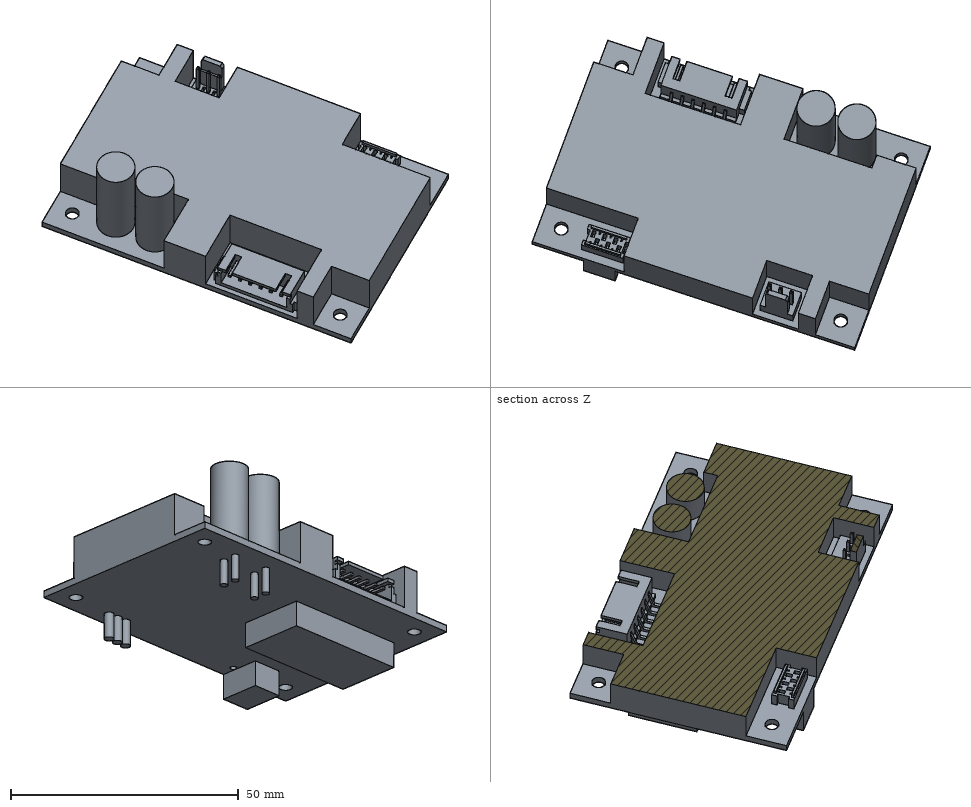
import cadquery as cq

BOARD_LENGTH = 75.0
BOARD_WIDTH = 50.0
BOARD_THICKNESS = 1.6
MOUNT_HOLE_DIAMETER = 3.0
MOUNT_HOLE_INSET = 5.0
RIGHT = BOARD_LENGTH / 2
LEFT = -RIGHT
BACK = BOARD_WIDTH / 2
FRONT = -BACK

COVER_HEIGHT = 10.0
CORNER_LENGTH = 9.15
CORNER_WIDTH = 9.35
CAPACITOR_NOTCH_RIGHT = -7.9
FRONT_NOTCH_WIDTH = 12.55
POWER_NOTCH_LEFT = 2.2
POWER_NOTCH_RIGHT = 24.4
FAN_NOTCH_LEFT = -24.4
FAN_NOTCH_RIGHT = -13.75
SIGNAL_NOTCH_LEFT = 16.15

UNDERSIDE_DEPTH = 6.0
LARGE_BLOCK_X = (3.0, 33.2)
LARGE_BLOCK_Y = (-12.9, 2.9)
SMALL_BLOCK_X = (18.2, 25.6)
SMALL_BLOCK_Y = (15.1, BACK)

CAPACITOR_DIAMETER = 8.4
CAPACITOR_HEIGHT = 20.0
CAPACITOR_X = [-22.88, -13.4]
CAPACITOR_Y = -18.05
LEAD_DIAMETER = 1.7
LEAD_SPACING = 3.5

FAN_PITCH = 2.54
FAN_X = -18.8
FAN_PIN_Y = 20.9
FAN_PIN_X = [FAN_X + i * FAN_PITCH for i in (-1, 0, 1)]
FAN_LENGTH = 7.6
FAN_FRONT = 17.8
FAN_BACK = 23.6
FAN_BASE_HEIGHT = 3.2
FAN_HEIGHT = 11.6
FAN_LOCK_LENGTH = 2 * FAN_PITCH
FAN_LOCK_CHAMFER_LENGTH = 0.45
FAN_LOCK_CHAMFER_HEIGHT = 0.8
FAN_LOCK_THICKNESS = 1.1
FAN_LEDGE_THICKNESS = 1.55
FAN_LEDGE_HEIGHT = 8.0
FAN_PIN_HEIGHT = 10.6
PIN_SIZE = 0.64
PIN_TIP_SIZE = 0.3
PIN_TIP_LENGTH = 0.5
FAN_SLOT_LENGTH = 0.55
FAN_SLOT_WIDTH = 1.3
SOLDER_DIAMETER = 2.2

POWER_X = 13.45
POWER_PITCH = 2.5
POWER_PIN_COUNT = 6
POWER_PIN_X = [POWER_X + (i - (POWER_PIN_COUNT - 1) / 2) * POWER_PITCH for i in range(POWER_PIN_COUNT)]
POWER_LENGTH = 17.6
POWER_HEIGHT = 6.1
POWER_FRONT = -23.95
POWER_BACK = -16.75
POWER_WALL = 0.85
POWER_FLOOR = 1.0
POWER_CAVITY_BACK = -19.1
POWER_FOOT_BACK = -15.95
POWER_LIP_HEIGHT = 4.4
POWER_LIP_WIDTH = 0.75
POWER_SLOT_INNER = 5.3
POWER_SLOT_OUTER = 6.85
POWER_FLANGE_LENGTH = 18.8
POWER_TAB_LENGTH = 20.05
POWER_TAB_HEIGHT = 2.9
POWER_TAB_BACK = -18.4
POWER_PIN_HEIGHT = 3.7
POWER_PIN_TIP = -23.4
POWER_TAIL_KNEE = -15.4
POWER_TAIL_END = -13.8

SIGNAL_X = 21.9
SIGNAL_Y = 20.6
SIGNAL_PITCH = 1.27
SIGNAL_COUNT = 6
SIGNAL_LENGTH = 9.6
SIGNAL_BODY_LENGTH = 8.3
SIGNAL_WIDTH = 5.1
SIGNAL_HEIGHT = 3.7
SIGNAL_END_GAP = 2.65
SIGNAL_RIM_WIDTH = 4.5
SIGNAL_TROUGH_WIDTH = 3.5
SIGNAL_STEP_DEPTH = 0.8
SIGNAL_CONTACT_OFFSET = 0.75
SIGNAL_CONTACT_LENGTH = 0.8
SIGNAL_CONTACT_WIDTH = 1.4
SIGNAL_CONTACT_DEPTH = 2.5
SIGNAL_SLIT_LENGTH = 0.3
SIGNAL_SLIT_WIDTH = 0.6
KEY_HOLE_DIAMETER = 1.5
KEY_HOLE_X = 17.37
KEY_HOLE_Y = 21.1


def box(x_range, y_range, z_range):
    """Box between pairs of X, Y and Z limits."""
    corner = (x_range[0], y_range[0], z_range[0])
    size = (x_range[1] - x_range[0], y_range[1] - y_range[0], z_range[1] - z_range[0])
    return cq.Workplane("XY").box(*size, centered=False).translate(corner)


def span(centre, length):
    """Limits of a length centred on a point."""
    return (centre - length / 2, centre + length / 2)


def cylinder(x, y, diameter, z_range):
    """Upright cylinder between two heights."""
    height = z_range[1] - z_range[0]
    return cq.Workplane("XY", origin=(x, y, z_range[0])).circle(diameter / 2).extrude(height)


def on_board(bottom, top):
    """Z limits given as heights above the board's top face."""
    return (BOARD_THICKNESS + bottom, BOARD_THICKNESS + top)


def make_cover():
    """Component block with its edge and corner notches."""
    z_range = on_board(0, COVER_HEIGHT)
    cover = box((LEFT, RIGHT), (FRONT, BACK), z_range)
    left_corner = (LEFT, LEFT + CORNER_LENGTH)
    right_corner = (RIGHT - CORNER_LENGTH, RIGHT)
    front_corner = (FRONT, FRONT + CORNER_WIDTH)
    front_notch = (FRONT, FRONT + FRONT_NOTCH_WIDTH)
    back_notch = (BACK - CORNER_WIDTH, BACK)
    notches = [
        (left_corner, front_corner),
        ((left_corner[1], CAPACITOR_NOTCH_RIGHT), front_notch),
        ((POWER_NOTCH_LEFT, POWER_NOTCH_RIGHT), front_notch),
        (right_corner, front_corner),
        (left_corner, back_notch),
        ((FAN_NOTCH_LEFT, FAN_NOTCH_RIGHT), back_notch),
        ((SIGNAL_NOTCH_LEFT, RIGHT), back_notch),
    ]
    for x_range, y_range in notches:
        cover = cover.cut(box(x_range, y_range, z_range))
    return cover


def make_signal_socket():
    """Staggered socket, standing on the board as part of it."""
    body_x = span(SIGNAL_X, SIGNAL_BODY_LENGTH)
    step = SIGNAL_HEIGHT - SIGNAL_STEP_DEPTH
    socket = box(span(SIGNAL_X, SIGNAL_LENGTH), span(SIGNAL_Y, SIGNAL_WIDTH), on_board(0, step))
    end_gap = box(span(SIGNAL_X, SIGNAL_LENGTH), span(SIGNAL_Y, SIGNAL_END_GAP), on_board(0, step))
    socket = socket.cut(end_gap)
    socket = socket.union(box(body_x, span(SIGNAL_Y, SIGNAL_WIDTH), on_board(0, step)))
    socket = socket.union(box(body_x, span(SIGNAL_Y, SIGNAL_RIM_WIDTH), on_board(step, SIGNAL_HEIGHT)))
    trough = box(body_x, span(SIGNAL_Y, SIGNAL_TROUGH_WIDTH), on_board(step, SIGNAL_HEIGHT))
    socket = socket.cut(trough)

    slit_offset = (SIGNAL_TROUGH_WIDTH - SIGNAL_SLIT_WIDTH) / 2
    pocket_z = on_board(step - SIGNAL_CONTACT_DEPTH, step)
    for i in range(SIGNAL_COUNT):
        x = SIGNAL_X + (i - (SIGNAL_COUNT - 1) / 2) * SIGNAL_PITCH
        side = 1 if i % 2 == 0 else -1
        contact_y = span(SIGNAL_Y + side * SIGNAL_CONTACT_OFFSET, SIGNAL_CONTACT_WIDTH)
        slit_y = span(SIGNAL_Y - side * slit_offset, SIGNAL_SLIT_WIDTH)
        socket = socket.cut(box(span(x, SIGNAL_CONTACT_LENGTH), contact_y, pocket_z))
        socket = socket.cut(box(span(x, SIGNAL_SLIT_LENGTH), slit_y, pocket_z))
    return socket


def make_board():
    """Board with its component block, capacitors, socket and underside parts."""
    underside_z = (-UNDERSIDE_DEPTH, 0)
    board_z = (0, BOARD_THICKNESS)
    board = box((LEFT, RIGHT), (FRONT, BACK), board_z)
    for x in (LEFT + MOUNT_HOLE_INSET, RIGHT - MOUNT_HOLE_INSET):
        for y in (FRONT + MOUNT_HOLE_INSET, BACK - MOUNT_HOLE_INSET):
            board = board.cut(cylinder(x, y, MOUNT_HOLE_DIAMETER, board_z))
    board = board.cut(cylinder(KEY_HOLE_X, KEY_HOLE_Y, KEY_HOLE_DIAMETER, board_z))
    board = board.union(make_cover())
    board = board.union(make_signal_socket())

    for x in CAPACITOR_X:
        can = cylinder(x, CAPACITOR_Y, CAPACITOR_DIAMETER, on_board(0, CAPACITOR_HEIGHT))
        board = board.union(can)
        for y in span(CAPACITOR_Y, LEAD_SPACING):
            board = board.union(cylinder(x, y, LEAD_DIAMETER, underside_z))
    for x in FAN_PIN_X:
        board = board.union(cylinder(x, FAN_PIN_Y, SOLDER_DIAMETER, underside_z))
    board = board.union(box(LARGE_BLOCK_X, LARGE_BLOCK_Y, underside_z))
    board = board.union(box(SMALL_BLOCK_X, SMALL_BLOCK_Y, underside_z))
    return board


def make_fan_connector():
    """Three-pin upright connector with a stepped, chamfered locking wall."""
    base_z = on_board(0, FAN_BASE_HEIGHT)
    connector = box(span(FAN_X, FAN_LENGTH), (FAN_FRONT, FAN_BACK), base_z)
    for side in (-1, 1):
        slot_x = span(FAN_X + side * FAN_PITCH / 2, FAN_SLOT_LENGTH)
        connector = connector.cut(box(slot_x, span(FAN_PIN_Y, FAN_SLOT_WIDTH), base_z))

    lock_x = span(FAN_X, FAN_LOCK_LENGTH)
    ledge_y = (FAN_BACK - FAN_LEDGE_THICKNESS, FAN_BACK)
    connector = connector.union(box(lock_x, ledge_y, on_board(FAN_BASE_HEIGHT, FAN_LEDGE_HEIGHT)))
    lock_outline = [
        (-FAN_LOCK_LENGTH / 2, FAN_LEDGE_HEIGHT),
        (FAN_LOCK_LENGTH / 2, FAN_LEDGE_HEIGHT),
        (FAN_LOCK_LENGTH / 2, FAN_HEIGHT - FAN_LOCK_CHAMFER_HEIGHT),
        (FAN_LOCK_LENGTH / 2 - FAN_LOCK_CHAMFER_LENGTH, FAN_HEIGHT),
        (-FAN_LOCK_LENGTH / 2 + FAN_LOCK_CHAMFER_LENGTH, FAN_HEIGHT),
        (-FAN_LOCK_LENGTH / 2, FAN_HEIGHT - FAN_LOCK_CHAMFER_HEIGHT),
    ]
    lock_wall = (
        cq.Workplane("XZ", origin=(FAN_X, FAN_BACK, BOARD_THICKNESS))
        .polyline(lock_outline)
        .close()
        .extrude(FAN_LOCK_THICKNESS)
    )
    connector = connector.union(lock_wall)

    shoulder = FAN_PIN_HEIGHT - PIN_TIP_LENGTH
    for x in FAN_PIN_X:
        pin_z = on_board(FAN_BASE_HEIGHT, shoulder)
        connector = connector.union(box(span(x, PIN_SIZE), span(FAN_PIN_Y, PIN_SIZE), pin_z))
        tip = (
            cq.Workplane("XY", origin=(x, FAN_PIN_Y, pin_z[1]))
            .rect(PIN_SIZE, PIN_SIZE)
            .workplane(offset=PIN_TIP_LENGTH)
            .rect(PIN_TIP_SIZE, PIN_TIP_SIZE)
            .loft(ruled=True)
        )
        connector = connector.union(tip)
    return connector


def make_power_pin(x):
    """Straight contact that slopes down behind the housing to a flat solder tail."""
    outline = [
        (POWER_PIN_TIP, POWER_PIN_HEIGHT - PIN_SIZE / 2),
        (POWER_BACK, POWER_PIN_HEIGHT - PIN_SIZE / 2),
        (POWER_TAIL_KNEE - PIN_SIZE, 0),
        (POWER_TAIL_END, 0),
        (POWER_TAIL_END, PIN_SIZE),
        (POWER_TAIL_KNEE, PIN_SIZE),
        (POWER_BACK, POWER_PIN_HEIGHT + PIN_SIZE / 2),
        (POWER_PIN_TIP, POWER_PIN_HEIGHT + PIN_SIZE / 2),
    ]
    start = (x - PIN_SIZE / 2, 0, BOARD_THICKNESS)
    return cq.Workplane("YZ", origin=start).polyline(outline).close().extrude(PIN_SIZE)


def make_power_connector():
    """Six-pin housing with latch slots, side tabs and rear solder tails."""
    body_x = span(POWER_X, POWER_LENGTH)
    cavity_x = span(POWER_X, POWER_LENGTH - 2 * POWER_WALL)
    lip_y = (POWER_FRONT, POWER_FRONT + POWER_LIP_WIDTH)

    connector = box(body_x, (POWER_FRONT, POWER_BACK), on_board(0, POWER_HEIGHT))
    connector = connector.union(box(body_x, (POWER_BACK, POWER_FOOT_BACK), on_board(0, POWER_FLOOR)))
    tab_x = span(POWER_X, POWER_TAB_LENGTH)
    tab_z = on_board(0, POWER_TAB_HEIGHT)
    connector = connector.union(box(tab_x, (lip_y[1], POWER_TAB_BACK), tab_z))
    connector = connector.union(box(span(POWER_X, POWER_FLANGE_LENGTH), lip_y, tab_z))

    cavity_z = on_board(POWER_FLOOR, POWER_HEIGHT - POWER_WALL)
    connector = connector.cut(box(cavity_x, (POWER_FRONT, POWER_CAVITY_BACK), cavity_z))
    upper_z = on_board(POWER_LIP_HEIGHT, POWER_HEIGHT - POWER_WALL)
    connector = connector.cut(box(body_x, lip_y, upper_z))
    slot_z = on_board(POWER_HEIGHT - POWER_WALL, POWER_HEIGHT)
    for side in (-1, 1):
        edges = (POWER_X + side * POWER_SLOT_INNER, POWER_X + side * POWER_SLOT_OUTER)
        slot_x = (min(edges), max(edges))
        connector = connector.cut(box(slot_x, (POWER_FRONT, POWER_CAVITY_BACK), slot_z))

    for x in POWER_PIN_X:
        connector = connector.union(make_power_pin(x))
    return connector


board = make_board()
fan_connector = make_fan_connector()
power_connector = make_power_connector()

result = cq.Compound.makeCompound([
    board.val(),
    fan_connector.val(),
    power_connector.val(),
])